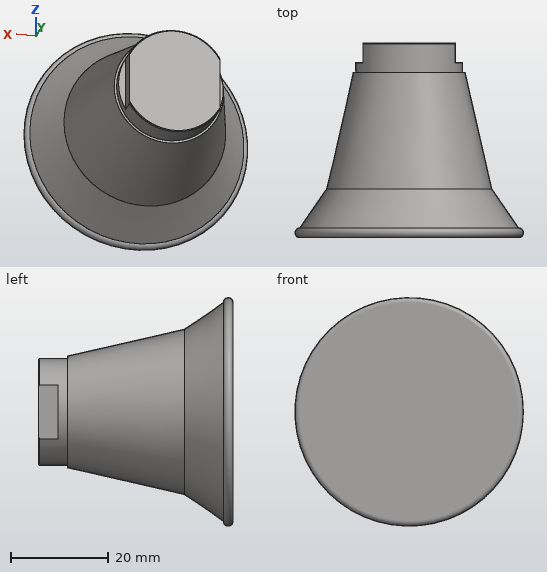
import cadquery as cq

bead_length = 2.0
flare_end = 10.0
body_end = 34.0
neck_end = 40.0
flat_length = 4.0

bead_diameter = 47.0
flat_face_diameter = bead_diameter - bead_length
waist_diameter = 34.0
shoulder_diameter = 23.0
neck_diameter = 22.0
width_across_flats = 19.0
neck_chamfer = 0.2


def make_knob():
    """Revolve the half profile: rounded bead, steep flare, tapered body and neck."""
    face_radius = flat_face_diameter / 2
    neck_radius = neck_diameter / 2
    profile = (
        cq.Workplane("XY")
        .moveTo(0, 0)
        .lineTo(face_radius, 0)
        .threePointArc((bead_diameter / 2, bead_length / 2), (face_radius, bead_length))
        .lineTo(waist_diameter / 2, flare_end)
        .lineTo(shoulder_diameter / 2, body_end)
        .lineTo(neck_radius, body_end)
        .lineTo(neck_radius, neck_end - neck_chamfer)
        .lineTo(neck_radius - neck_chamfer, neck_end)
        .lineTo(0, neck_end)
        .close()
    )
    return profile.revolve(360, (0, 0, 0), (0, 1, 0))


def make_flat_cutter(side):
    """Block that cuts one wrench flat; side is +1 or -1 along X."""
    block_width = neck_diameter - width_across_flats
    block_center_x = side * (width_across_flats + block_width) / 2
    return (
        cq.Workplane("XY")
        .box(block_width, flat_length, neck_diameter)
        .translate((block_center_x, neck_end - flat_length / 2, 0))
    )


result = make_knob()
for side in (-1, 1):
    result = result.cut(make_flat_cutter(side))